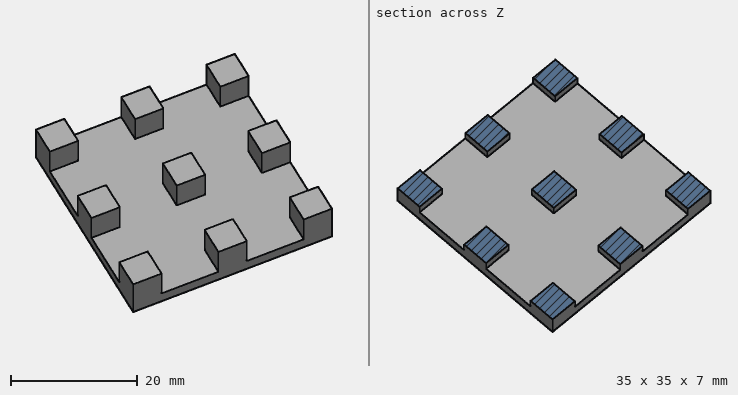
import cadquery as cq

plate_side = 35.0
total_height = 7.0
posts_per_side = 3

gap_in_posts = 2
post_side = plate_side / (posts_per_side + gap_in_posts * (posts_per_side - 1))
post_pitch = post_side * (1 + gap_in_posts)
plate_thickness = total_height - post_side

plate = cq.Workplane("XY").box(
    plate_side, plate_side, plate_thickness, centered=(True, True, False)
)

posts = (
    cq.Workplane("XY")
    .rarray(post_pitch, post_pitch, posts_per_side, posts_per_side)
    .rect(post_side, post_side)
    .extrude(total_height)
)

result = plate.union(posts).clean()